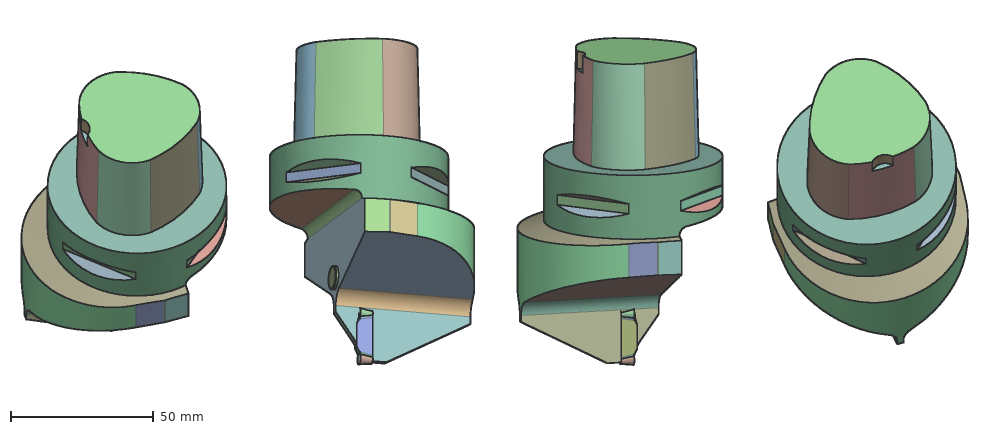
import cadquery as cq
import math


SHANK_LENGTH = 38.0
LOBE_RADIUS = 23.4
FLANK_RADIUS = 20.35
CORNER_RADIUS = 22.3
FLANK_SPREAD = 68.0
SHANK_TAPER = 0.95
KEY_RADIUS = 5.0
KEY_DEPTH = 1.85
KEY_HEIGHT = 6.2

FLANGE_RADIUS = 31.5
FLANGE_HEIGHT = 23.0
GROOVE_Z = -12.1
GROOVE_FLAT = 3.5
GROOVE_DISTANCE = 27.9
GROOVE_WALL_ANGLE = 30.0

REAR_Y = 9.0
RELIEF_EDGE_Z = -18.1
RELIEF_ANGLE = 5.0
RELIEF_FILLET = 3.0

HEAD_HALF_WIDTH = 34.275
HEAD_SIDE_ANGLE = 5.0
HEAD_CROWN = 0.35
NOSE_Y = -40.99
SHOULDER_ANGLE = 15.0
ROOF_ANGLE = 25.0
ROOT_FILLET = 6.0
ROOT_END_Z = -54.85

BLADE_HALF_WIDTH = 1.2
BLADE_BOTTOM_Z = -73.95
BLADE_BOTTOM_FRONT_Y = -9.8
BLADE_NOSE_Z = -57.45
CLAMP_HEEL_Z = -57.3
CLAMP_BEND = (2.3, -66.5)
CLAMP_TIP_Z = -68.3
INSERT_TIP_Z = -75.3
INSERT_HALF_LENGTH = 10.3
INSERT_DEPTH = 4.7
INSERT_CREST_Y = 1.2
INSERT_CREST_HALF = 4.3
INSERT_RAKE_KNEE = (0.3, 6.05)
INSERT_RAKE_END = 6.7
BUTTON_RADIUS = 2.0
BUTTON_RELIEF_ANGLE = 7.0
EDGE_NECK = (6.05, 6.85)
BACK_NECK = (6.95, 7.65)
SLOT_STEP_Y = 0.5
SLOT_STEP_Z = -57.1
SLOT_STEP_END_Z = -58.5

SCREW_DIAMETER = 8.5
SCREW_Z = -44.6
SCREW_HEIGHT = 1.1
SCREW_CHAMFER = 0.3

OVERCUT = 1.0
FLOOR_Z = INSERT_TIP_Z - OVERCUT
INSERT_MIDDLE_Z = INSERT_TIP_Z + INSERT_HALF_LENGTH
BUTTON_CENTER = INSERT_HALF_LENGTH - BUTTON_RADIUS


def sin(angle):
    return math.sin(math.radians(angle))


def cos(angle):
    return math.cos(math.radians(angle))


def tan(angle):
    return math.tan(math.radians(angle))


def extrude_along_x(points, half_width):
    """Prism from (Y, Z) points, symmetric about X = 0."""
    return cq.Workplane("YZ").polyline(points).close().extrude(half_width, both=True)


def polygon_outline(plane, inset):
    """Three-lobed outline made of alternating flank and lobe arcs."""
    def at(radius, angle):
        return ((radius - inset) * cos(angle), (radius - inset) * sin(angle))

    half_flank = FLANK_SPREAD / 2
    outline = plane.moveTo(*at(CORNER_RADIUS, -90 - half_flank))
    for flank_angle in (-90, 30, 150):
        lobe_angle = flank_angle + 60
        next_flank_start = flank_angle + 120 - half_flank
        outline = outline.threePointArc(
            at(FLANK_RADIUS, flank_angle), at(CORNER_RADIUS, flank_angle + half_flank))
        outline = outline.threePointArc(
            at(LOBE_RADIUS, lobe_angle), at(CORNER_RADIUS, next_flank_start))
    return outline.close()


def make_shank():
    base = polygon_outline(cq.Workplane("XY"), 0)
    shank = polygon_outline(base.workplane(offset=SHANK_LENGTH), SHANK_TAPER).loft(ruled=True)
    key_y = -(FLANK_RADIUS - SHANK_TAPER) + KEY_DEPTH - KEY_RADIUS
    key = (
        cq.Workplane("XY", origin=(0, key_y, SHANK_LENGTH - KEY_HEIGHT))
        .circle(KEY_RADIUS)
        .extrude(KEY_HEIGHT)
    )
    return shank.cut(key)


def make_groove(angle):
    """Gripper groove with a flat floor and sloping walls, running across the flange rim."""
    reach = FLANGE_RADIUS - GROOVE_DISTANCE + OVERCUT
    floor_half = GROOVE_FLAT / 2
    mouth_half = floor_half + reach * tan(GROOVE_WALL_ANGLE)
    outer = GROOVE_DISTANCE + reach
    profile = [
        (GROOVE_DISTANCE, GROOVE_Z - floor_half),
        (outer, GROOVE_Z - mouth_half),
        (outer, GROOVE_Z + mouth_half),
        (GROOVE_DISTANCE, GROOVE_Z + floor_half),
    ]
    return extrude_along_x(profile, FLANGE_RADIUS).rotate((0, 0, 0), (0, 0, 1), angle)


def make_flange():
    flange = cq.Workplane("XY").circle(FLANGE_RADIUS).extrude(-FLANGE_HEIGHT)
    for angle in (45, 135, 225, 315):
        flange = flange.cut(make_groove(angle))

    corner_z = RELIEF_EDGE_Z - (FLANGE_RADIUS - REAR_Y) * tan(RELIEF_ANGLE)
    outer_y = FLANGE_RADIUS + OVERCUT
    outer_z = RELIEF_EDGE_Z + (outer_y - FLANGE_RADIUS) * tan(RELIEF_ANGLE)
    setback = RELIEF_FILLET * tan((90 - RELIEF_ANGLE) / 2)
    mid_angle = 180 - (90 - RELIEF_ANGLE) / 2
    center = (REAR_Y + RELIEF_FILLET, corner_z - setback)
    relief = (
        cq.Workplane("YZ")
        .moveTo(REAR_Y, FLOOR_Z)
        .lineTo(REAR_Y, center[1])
        .threePointArc(
            (center[0] + RELIEF_FILLET * cos(mid_angle), center[1] + RELIEF_FILLET * sin(mid_angle)),
            (REAR_Y + setback * cos(RELIEF_ANGLE), corner_z + setback * sin(RELIEF_ANGLE)),
        )
        .lineTo(outer_y, outer_z)
        .lineTo(outer_y, FLOOR_Z)
        .close()
        .extrude(FLANGE_RADIUS + OVERCUT, both=True)
    )
    return flange.cut(relief)


def make_head_plan():
    """Head outline seen along Z: a round nose with slightly leaning sides and a flat rear."""
    half_crown = HEAD_CROWN / 2
    side_offset = HEAD_HALF_WIDTH * cos(HEAD_SIDE_ANGLE) + half_crown * sin(HEAD_SIDE_ANGLE)
    nose_center = (side_offset + NOSE_Y) / (1 - sin(HEAD_SIDE_ANGLE))
    nose_radius = nose_center - NOSE_Y
    tangent_x = nose_radius * cos(HEAD_SIDE_ANGLE)
    tangent_y = nose_center - nose_radius * sin(HEAD_SIDE_ANGLE)
    rear_x = HEAD_HALF_WIDTH - (REAR_Y - half_crown) * tan(HEAD_SIDE_ANGLE)
    return (
        cq.Workplane("XY", origin=(0, 0, FLOOR_Z))
        .moveTo(-rear_x, REAR_Y)
        .lineTo(-HEAD_HALF_WIDTH, half_crown)
        .lineTo(-HEAD_HALF_WIDTH, -half_crown)
        .lineTo(-tangent_x, tangent_y)
        .threePointArc((0, NOSE_Y), (tangent_x, tangent_y))
        .lineTo(HEAD_HALF_WIDTH, -half_crown)
        .lineTo(HEAD_HALF_WIDTH, half_crown)
        .lineTo(rear_x, REAR_Y)
        .close()
        .extrude(-FLANGE_HEIGHT - FLOOR_Z)
    )


def make_shoulder():
    """Round envelope: the flange cylinder opening into the conical shoulder."""
    reach = -NOSE_Y + OVERCUT
    shoulder_z = -FLANGE_HEIGHT - (reach - FLANGE_RADIUS) * tan(SHOULDER_ANGLE)
    return (
        cq.Workplane("XZ")
        .moveTo(0, -FLANGE_HEIGHT)
        .lineTo(FLANGE_RADIUS, -FLANGE_HEIGHT)
        .lineTo(reach, shoulder_z)
        .lineTo(reach, FLOOR_Z)
        .lineTo(0, FLOOR_Z)
        .close()
        .revolve(360, (0, 0, 0), (0, 1, 0))
    )


def make_roof():
    """Section across the head: two sloping undersides filleted into the thin blade."""
    sweep = 90 - ROOF_ANGLE
    center_x = BLADE_HALF_WIDTH + ROOT_FILLET
    root_x = center_x - ROOT_FILLET * cos(sweep)
    root_z = ROOT_END_Z + ROOT_FILLET * sin(sweep)
    mid_x = center_x - ROOT_FILLET * cos(sweep / 2)
    mid_z = ROOT_END_Z + ROOT_FILLET * sin(sweep / 2)
    outer_x = HEAD_HALF_WIDTH + OVERCUT
    outer_z = root_z + (outer_x - root_x) * tan(ROOF_ANGLE)
    return (
        cq.Workplane("XZ")
        .moveTo(-outer_x, 0)
        .lineTo(-outer_x, outer_z)
        .lineTo(-root_x, root_z)
        .threePointArc((-mid_x, mid_z), (-BLADE_HALF_WIDTH, ROOT_END_Z))
        .lineTo(-BLADE_HALF_WIDTH, FLOOR_Z)
        .lineTo(BLADE_HALF_WIDTH, FLOOR_Z)
        .lineTo(BLADE_HALF_WIDTH, ROOT_END_Z)
        .threePointArc((mid_x, mid_z), (root_x, root_z))
        .lineTo(outer_x, outer_z)
        .lineTo(outer_x, 0)
        .close()
        .extrude(-NOSE_Y + OVERCUT, both=True)
    )


def make_side_profile():
    """Side outline of the head and blade, with the clamp finger behind the insert."""
    front_y = NOSE_Y - OVERCUT
    nose_slope = (BLADE_NOSE_Z - BLADE_BOTTOM_Z) / (BLADE_BOTTOM_FRONT_Y - NOSE_Y)
    points = [
        (front_y, 0),
        (front_y, BLADE_NOSE_Z + OVERCUT * nose_slope),
        (BLADE_BOTTOM_FRONT_Y, BLADE_BOTTOM_Z),
        (INSERT_CREST_Y, BLADE_BOTTOM_Z),
        (INSERT_CREST_Y, CLAMP_TIP_Z),
        CLAMP_BEND,
        (REAR_Y, CLAMP_HEEL_Z),
        (REAR_Y, 0),
    ]
    return extrude_along_x(points, HEAD_HALF_WIDTH + OVERCUT)


def make_insert_slot():
    """Slot through the blade, with a small clearance between clamp finger and insert.

    It ends at the centre of the upper button, whose own shape forms the rest of the seat.
    """
    ceiling_z = INSERT_MIDDLE_Z + BUTTON_CENTER
    points = [
        (-INSERT_DEPTH, FLOOR_Z),
        (-INSERT_DEPTH, ceiling_z),
        (0, ceiling_z),
        (0, SLOT_STEP_Z),
        (SLOT_STEP_Y, SLOT_STEP_Z),
        (SLOT_STEP_Y, SLOT_STEP_END_Z),
        (INSERT_CREST_Y, INSERT_MIDDLE_Z + INSERT_CREST_HALF),
        (INSERT_CREST_Y, FLOOR_Z),
    ]
    return extrude_along_x(points, 2 * BLADE_HALF_WIDTH)


def make_screw_head():
    return (
        cq.Workplane("XZ", origin=(0, REAR_Y, SCREW_Z))
        .circle(SCREW_DIAMETER / 2)
        .extrude(-SCREW_HEIGHT)
        .faces(">Y")
        .chamfer(SCREW_CHAMFER)
    )


def insert_end_section(plane, button_radius, neck):
    """Lower end of the insert across Y: the web widens at a neck and runs into a round button."""
    neck_start, neck_end = neck
    neck_half = math.sqrt(button_radius ** 2 - (BUTTON_CENTER - neck_end) ** 2)
    return (
        plane.moveTo(-BLADE_HALF_WIDTH, 0)
        .lineTo(-BLADE_HALF_WIDTH, -neck_start)
        .lineTo(-neck_half, -neck_end)
        .threePointArc((0, -BUTTON_CENTER - button_radius), (neck_half, -neck_end))
        .lineTo(BLADE_HALF_WIDTH, -neck_start)
        .lineTo(BLADE_HALF_WIDTH, 0)
        .close()
    )


def make_insert():
    back_radius = BUTTON_RADIUS - INSERT_DEPTH * tan(BUTTON_RELIEF_ANGLE)
    edge_plane = cq.Workplane("XZ", origin=(0, 0, INSERT_MIDDLE_Z))
    edge = insert_end_section(edge_plane, BUTTON_RADIUS, EDGE_NECK)
    back_plane = edge.workplane(offset=INSERT_DEPTH)
    end = insert_end_section(back_plane, back_radius, BACK_NECK).loft(ruled=True)

    knee_y, knee_distance = INSERT_RAKE_KNEE
    upper_half = [
        (INSERT_CREST_Y, INSERT_CREST_HALF),
        (knee_y, knee_distance),
        (0, INSERT_RAKE_END),
    ]
    lower_half = [(y, -distance) for y, distance in reversed(upper_half)]
    crest = extrude_along_x(upper_half + lower_half, BLADE_HALF_WIDTH)
    crest = crest.translate((0, 0, INSERT_MIDDLE_Z))

    other_end = end.mirror("XY", (0, 0, INSERT_MIDDLE_Z))
    return end.union(other_end).union(crest).clean()


def make_holder(seated_insert):
    head = make_head_plan().intersect(make_shoulder()).intersect(make_roof())
    head = head.intersect(make_side_profile()).cut(make_insert_slot()).cut(seated_insert)
    return make_flange().union(make_shank()).union(head).union(make_screw_head())


insert = make_insert()
holder = make_holder(insert)
result = cq.Compound.makeCompound([holder.val(), insert.val()])